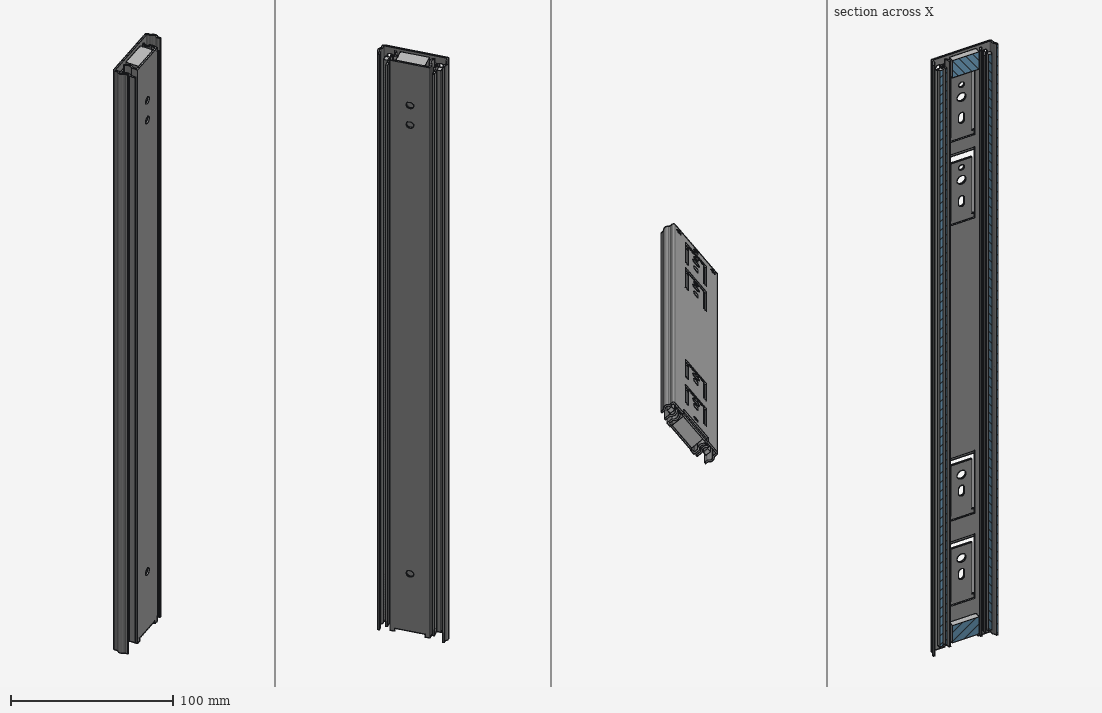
import cadquery as cq

LENGTH = 450.0
WIDTH = 46.0
DEPTH = 12.5
WALL = 1.12
HALF_LENGTH = LENGTH / 2

TRACK_X = 6.0
TRACK_SPAN = 5.0
TRACK_RISE = 1.5
TRACK_BLEND = 1.5

OUTER_HALF = WIDTH / 2 - TRACK_RISE
OUTER_LIP_X = 10.5
OUTER_BEND = 1.5
END_NOTCH_WIDTH = 23.5
END_NOTCH_HEIGHT = 9.5

WEB_GAP = 0.22
MIDDLE_HALF = 15.8
MIDDLE_WEB_X = WALL + WEB_GAP
MIDDLE_LIP_X = DEPTH - WEB_GAP
MIDDLE_TOP_Z = 219.5
MIDDLE_BOTTOM_Z = -219.5

WINDOW_MARGIN = 2.5

INNER_HALF = 13.0
INNER_LIP_X = 2.5
INNER_TOP_Z = 224.0
INNER_BOTTOM_Z = -222.0
INNER_NOTCH_WIDTH = 20.0
INNER_HOLE_CENTRES = (191.5, 176.5, -174.5)
INNER_HOLE_DIAMETER = 5.0

STOP_WIDTH = 19.0
STOP_HEIGHT = 13.5

RETAINER_Y = 17.32
RETAINER_THICKNESS = 2.5
RETAINER_WIDTH = 3.5
RETAINER_LENGTH = MIDDLE_TOP_Z - MIDDLE_BOTTOM_Z

TABS = (
    (210.5, 161.5, 4.0),
    (146.5, 98.0, 5.5),
    (-84.5, -127.0, 4.0),
    (-148.0, -191.5, 4.0),
)
TAB_LEG_SPACING = 17.5
TAB_LEG_WIDTH = 2.5

SMALL_HOLE_DIAMETER = 4.0
SMALL_HOLES = (
    (-16.42, 218.0),
    (0, 218.0),
    (16.42, 218.0),
    (0, 199.0),
    (0, 136.0),
    (0, -204.5),
)
LARGE_HOLE_DIAMETER = 6.5
LARGE_HOLE_CENTRES = (189.5, 126.5, -98.0, -161.5)
OBLONG_WIDTH = 4.0
OBLONG_HEIGHT = 8.0
OBLONG_CENTRES = (173.5, 110.2, -110.2, -173.5)


def centred_box(x_range, width, z_range):
    """Box between two X and two Z limits, symmetric about the XZ plane."""
    x0, x1 = x_range
    z0, z1 = z_range
    block = cq.Workplane().box(x1 - x0, width, z1 - z0, centered=(False, True, False))
    return block.translate((x0, 0, z0))


def track_bar(web_x, lip_x, half_width, rise, inset, z_range):
    """Solid bar with a round track on both sides; inset moves its web and sides inward.

    A positive rise swells the sides outward and a negative one dents them inward.
    """
    direction = 1 if lip_x > web_x else -1
    sagitta = abs(rise)
    radius = (TRACK_SPAN**2 / 4 + sagitta**2) / (2 * sagitta)
    outward = 1 if rise > 0 else -1
    arc_y = half_width + rise - outward * radius
    side_y = half_width - inset
    inset_radius = radius - outward * inset
    peak_y = arc_y + outward * inset_radius
    half_chord = (inset_radius**2 - (side_y - arc_y) ** 2) ** 0.5 * direction
    start_x = web_x + direction * inset
    bottom_z, top_z = z_range
    return (
        cq.Workplane("XY", origin=(0, 0, bottom_z))
        .moveTo(start_x, -side_y)
        .lineTo(start_x, side_y)
        .lineTo(TRACK_X - half_chord, side_y)
        .threePointArc((TRACK_X, peak_y), (TRACK_X + half_chord, side_y))
        .lineTo(lip_x, side_y)
        .lineTo(lip_x, -side_y)
        .lineTo(TRACK_X + half_chord, -side_y)
        .threePointArc((TRACK_X, -peak_y), (TRACK_X - half_chord, -side_y))
        .close()
        .extrude(top_z - bottom_z)
    )


def soften_track(bar):
    """Blend the track arcs into the flat sides."""
    near_track = cq.selectors.BoxSelector(
        (TRACK_X - TRACK_SPAN / 2 - WALL, -WIDTH, -LENGTH),
        (TRACK_X + TRACK_SPAN / 2 + WALL, WIDTH, LENGTH),
    )
    return bar.edges("|Z").edges(near_track).fillet(TRACK_BLEND)


def channel(web_x, lip_x, half_width, rise, z_range, bend=0):
    """Sheet-metal channel with a ball track along both flanges.

    With a bend radius, the web corners are rounded and the track is blended in.
    """
    bar = track_bar(web_x, lip_x, half_width, rise, 0, z_range)
    cavity = track_bar(web_x, lip_x, half_width, rise, WALL, z_range)
    if bend:
        bar = soften_track(bar.faces("<X").edges("|Z").fillet(bend))
        cavity = soften_track(cavity.faces("<X").edges("|Z").fillet(bend - WALL))
    return bar.cut(cavity)


def round_holes(centres, diameter):
    """Round cutters along X at the given (y, z) centres."""
    return cq.Workplane("YZ").pushPoints(centres).circle(diameter / 2).extrude(DEPTH)


def upright_slots(heights, width, height):
    """Round-ended cutters along X on the centre line, long in Z."""
    centres = [(0, z) for z in heights]
    return cq.Workplane("YZ").pushPoints(centres).slot2D(height, width, 90).extrude(DEPTH)


def tab_cut(top_z, bottom_z, crossbar_height):
    """U-shaped cutter that frees a tab on its top and both sides."""
    x_range = (0, WALL)
    frame = centred_box(x_range, TAB_LEG_SPACING + TAB_LEG_WIDTH, (bottom_z, top_z))
    tab_width = TAB_LEG_SPACING - TAB_LEG_WIDTH
    return frame.cut(centred_box(x_range, tab_width, (bottom_z, top_z - crossbar_height)))


def make_outer_rail():
    z_range = (-HALF_LENGTH, HALF_LENGTH)
    rail = channel(0, OUTER_LIP_X, OUTER_HALF, TRACK_RISE, z_range, OUTER_BEND)
    for tab in TABS:
        rail = rail.cut(tab_cut(*tab))
    rail = rail.cut(round_holes(SMALL_HOLES, SMALL_HOLE_DIAMETER))
    rail = rail.cut(round_holes([(0, z) for z in LARGE_HOLE_CENTRES], LARGE_HOLE_DIAMETER))
    rail = rail.cut(upright_slots(OBLONG_CENTRES, OBLONG_WIDTH, OBLONG_HEIGHT))
    notch_z = (-HALF_LENGTH, -HALF_LENGTH + END_NOTCH_HEIGHT)
    return rail.cut(centred_box((0, WALL), END_NOTCH_WIDTH, notch_z))


def make_middle_rail():
    z_range = (MIDDLE_BOTTOM_Z, MIDDLE_TOP_Z)
    rail = channel(MIDDLE_WEB_X, MIDDLE_LIP_X, MIDDLE_HALF, -TRACK_RISE, z_range)
    web_x = (MIDDLE_WEB_X, MIDDLE_WEB_X + WALL)
    for top_z, bottom_z, _ in TABS:
        window_z = (bottom_z - WINDOW_MARGIN, top_z + WINDOW_MARGIN)
        rail = rail.cut(centred_box(web_x, TAB_LEG_SPACING, window_z))
    return rail


def make_inner_rail():
    z_range = (INNER_BOTTOM_Z, INNER_TOP_Z)
    rail = channel(DEPTH, INNER_LIP_X, INNER_HALF, -TRACK_RISE, z_range)
    rail = rail.cut(round_holes([(0, z) for z in INNER_HOLE_CENTRES], INNER_HOLE_DIAMETER))
    notch_z = (INNER_BOTTOM_Z, MIDDLE_BOTTOM_Z)
    return rail.cut(centred_box((DEPTH - WALL, DEPTH), INNER_NOTCH_WIDTH, notch_z))


def make_stop(bottom_z):
    """Block that fills the space between the middle and inner webs."""
    x_range = (MIDDLE_WEB_X + WALL, DEPTH - WALL)
    return centred_box(x_range, STOP_WIDTH, (bottom_z, bottom_z + STOP_HEIGHT))


def make_retainer(side):
    """Straight ball strip on the +Y (side 1) or -Y (side -1) track."""
    strip = cq.Workplane().box(RETAINER_WIDTH, RETAINER_THICKNESS, RETAINER_LENGTH)
    return strip.translate((TRACK_X, side * RETAINER_Y, 0))


outer_rail = make_outer_rail()
middle_rail = make_middle_rail()
inner_rail = make_inner_rail()
stops = [make_stop(bottom_z) for bottom_z in (INNER_TOP_Z - STOP_HEIGHT, MIDDLE_BOTTOM_Z)]
retainers = [make_retainer(side) for side in (1, -1)]

bodies = [outer_rail, middle_rail, inner_rail, *stops, *retainers]
result = cq.Compound.makeCompound([body.val() for body in bodies])